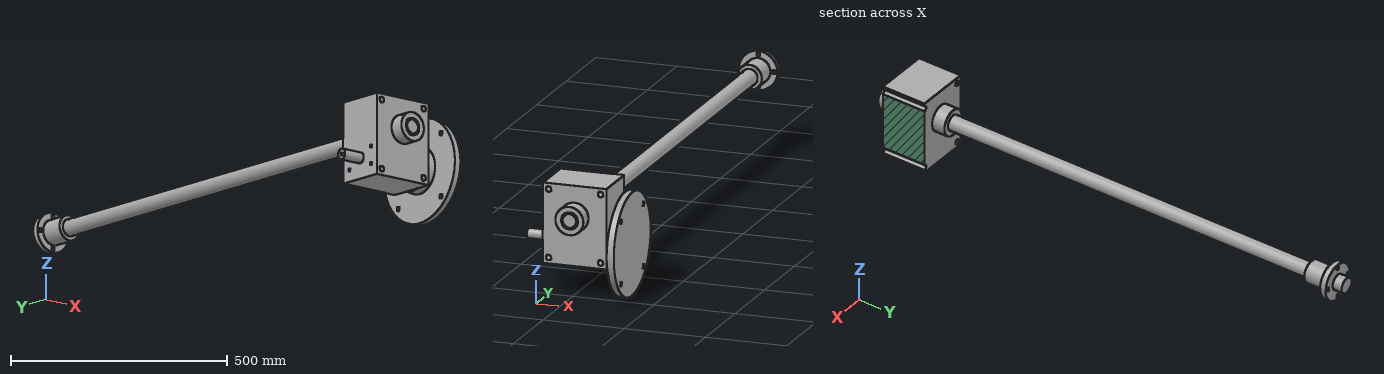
import cadquery as cq

box_width = 157.0
box_depth = 120.0
box_top = 75.0
box_bottom = 120.0
corner_hole_diameter = 13.0
corner_hole_inset = 15.0
hub_diameter = 69.0
hub_length = 35.0

input_drop = 70.0
input_diameter = 25.0
input_length = 56.0
input_center_hole_diameter = 6.6
input_center_hole_depth = 13.0
input_seat_depth = 20.0

mount_hole_diameter = 6.6
mount_hole_depth = 13.0
mount_hole_span_y = 77.0
mount_hole_span_z = 42.0

flange_diameter = 250.0
flange_thickness = 17.0
flange_neck_start_diameter = 105.0
flange_neck_end_diameter = 110.0
flange_neck_length = 24.0
flange_hole_diameter = 10.1
flange_hole_circle = 214.0
flange_hole_count = 4
flange_hole_angle = 45

screw_diameter = 40.0
screw_tip_diameter = 34.0
total_length = 1345.0

nut_flange_diameter = 95.0
nut_flange_thickness = 16.0
nut_body_diameter = 60.0
nut_body_length = 58.0
nut_setback = 25.0
nut_hole_diameter = 9.0
nut_hole_circle = 78.0
nut_hole_count = 4

box_side = box_width / 2
box_face = box_depth / 2
box_height = box_top + box_bottom
hub_end = box_face + hub_length
screw_end = total_length - flange_diameter / 2
nut_end = screw_end - nut_setback
screw_tip_chamfer = (screw_diameter - screw_tip_diameter) / 2


def cylinder_y(diameter, start, length):
    """Cylinder on the screw axis, from Y = start towards +Y."""
    return cq.Workplane("XZ", origin=(0, start, 0)).circle(diameter / 2).extrude(-length)


def input_plane(x):
    """Plane facing +X on the input axis; its local axes are Y and Z."""
    return cq.Workplane("YZ", origin=(x, 0, -input_drop))


def make_housing():
    """Gearbox block with a hub on both faces, bored through for the screw."""
    box = cq.Workplane("XY").box(box_width, box_depth, box_height)
    box = box.translate((0, 0, (box_top - box_bottom) / 2))
    drilled_box = (
        box.faces("<Y").workplane(centerOption="CenterOfBoundBox")
        .rect(box_width - 2 * corner_hole_inset, box_height - 2 * corner_hole_inset, forConstruction=True)
        .vertices()
        .hole(corner_hole_diameter)
    )
    mount_holes = (
        input_plane(-box_side)
        .rect(mount_hole_span_y, mount_hole_span_z, forConstruction=True)
        .vertices()
        .circle(mount_hole_diameter / 2)
        .extrude(mount_hole_depth)
    )
    input_seat = input_plane(-box_side).circle(input_diameter / 2).extrude(input_seat_depth)
    hub = cylinder_y(hub_diameter, -hub_end, 2 * hub_end)
    bore = cylinder_y(screw_diameter, -hub_end, 2 * hub_end)
    return drilled_box.union(hub).cut(bore).cut(mount_holes).cut(input_seat)


def make_input_shaft():
    """Drive shaft seated in the -X side of the housing, with a center hole."""
    shaft_start = -box_side - input_length
    shaft = input_plane(shaft_start).circle(input_diameter / 2).extrude(input_length + input_seat_depth)
    center_hole = (
        input_plane(shaft_start).circle(input_center_hole_diameter / 2).extrude(input_center_hole_depth)
    )
    return shaft.cut(center_hole)


def make_motor_flange():
    """Round plate on a slightly tapered neck, on the +X side of the housing."""
    plate_start = box_side + flange_neck_length
    neck = (
        input_plane(box_side).circle(flange_neck_start_diameter / 2)
        .workplane(offset=flange_neck_length).circle(flange_neck_end_diameter / 2)
        .loft()
    )
    plate = input_plane(plate_start).circle(flange_diameter / 2).extrude(flange_thickness)
    bolt_holes = (
        input_plane(plate_start)
        .polarArray(flange_hole_circle / 2, flange_hole_angle, 360, flange_hole_count)
        .circle(flange_hole_diameter / 2)
        .extrude(flange_thickness)
    )
    return plate.cut(bolt_holes).union(neck)


def make_screw():
    """Plain shaft for the lifting screw, chamfered at the gearbox end."""
    screw = cylinder_y(screw_diameter, -hub_end, hub_end + screw_end)
    return screw.faces("<Y").chamfer(screw_tip_chamfer)


def make_nut():
    """Flanged travelling nut near the far end of the screw."""
    flange_start = nut_end - nut_flange_thickness
    flange = cylinder_y(nut_flange_diameter, flange_start, nut_flange_thickness)
    bolt_holes = (
        cq.Workplane("XZ", origin=(0, flange_start, 0))
        .polarArray(nut_hole_circle / 2, 0, 360, nut_hole_count)
        .circle(nut_hole_diameter / 2)
        .extrude(-nut_flange_thickness)
    )
    body = cylinder_y(nut_body_diameter, flange_start - nut_body_length, nut_body_length)
    bore = cylinder_y(screw_diameter, flange_start - nut_body_length, nut_body_length + nut_flange_thickness)
    return flange.cut(bolt_holes).union(body).cut(bore)


housing = make_housing()
input_shaft = make_input_shaft()
motor_flange = make_motor_flange()
screw = make_screw()
nut = make_nut()

result = cq.Compound.makeCompound(
    [housing.val(), input_shaft.val(), motor_flange.val(), screw.val(), nut.val()]
)